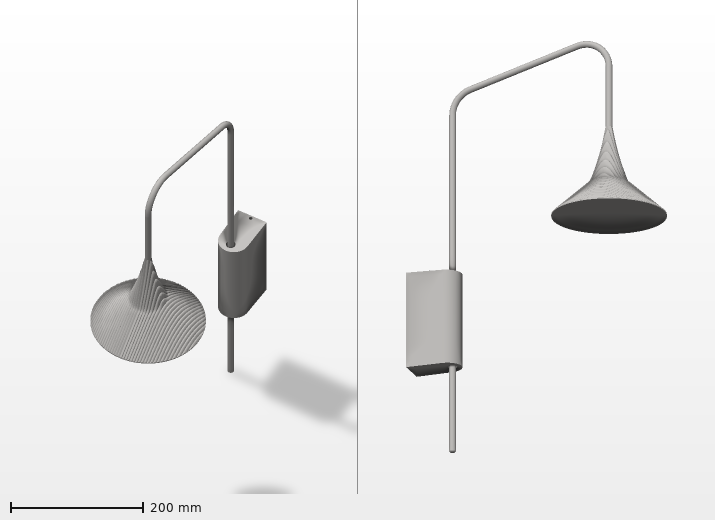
import cadquery as cq
import math


TUBE_RADIUS = 5.0
TOTAL_HEIGHT = 632.0
REACH = 250.0
BEND_RADIUS = 40.0
UPRIGHT_TOP = 536.0
DROP_TOP = TOTAL_HEIGHT - TUBE_RADIUS - BEND_RADIUS
END_CHAMFER = 1.0

SHADE_WIDTH = 175.0
RIBS_PER_SIDE = 21
RIB_WIDTH = SHADE_WIDTH / 2 / RIBS_PER_SIDE
RIB_RELIEF = 1.6
RIM_RADIUS = SHADE_WIDTH / 2
RIM_BOTTOM = 349.5
RIM_THICKNESS = 2.0
RIM_TOP = RIM_BOTTOM + RIM_THICKNESS
WAIST_RADIUS = 29.0
WAIST_HEIGHT = 404.0
NECK_RADIUS = TUBE_RADIUS
NECK_TOP = 491.5
FLARE_RADIUS = 411.0
CURVE_STEPS = 20
TRIM_RADIUS = RIM_RADIUS + 2 * RIB_WIDTH
TRIM_BOTTOM = RIM_BOTTOM - 3 * RIB_WIDTH

HOUSING_DEPTH = 80.0
HOUSING_BACK = 66.0
HOUSING_BOTTOM = 134.5
HOUSING_TOP = 285.0
BACK_WIDTH = 50.0
TAPER_ANGLE = 1.0
TAPER = math.tan(math.radians(TAPER_ANGLE))
TUBE_HOLE_DIAMETER = 14.5
SCREW_HOLE_DIAMETER = 6.0
SCREW_HOLE_INSET = 5.0
SCREW_HOLE_DEPTH = 6.5


def make_housing():
    front = HOUSING_BACK - HOUSING_DEPTH
    nose_radius = (BACK_WIDTH / 2 - HOUSING_DEPTH * TAPER) / (1 - TAPER)
    nose_start = front + nose_radius
    body = (
        cq.Workplane("XY", origin=(0, 0, HOUSING_BOTTOM))
        .moveTo(-BACK_WIDTH / 2, HOUSING_BACK)
        .lineTo(-nose_radius, nose_start)
        .threePointArc((0, front), (nose_radius, nose_start))
        .lineTo(BACK_WIDTH / 2, HOUSING_BACK)
        .close()
        .extrude(HOUSING_TOP - HOUSING_BOTTOM)
    )
    drop = HOUSING_DEPTH * TAPER
    side_outline = (
        cq.Workplane("YZ")
        .polyline([
            (HOUSING_BACK, HOUSING_BOTTOM),
            (HOUSING_BACK, HOUSING_TOP),
            (front, HOUSING_TOP - drop),
            (front, HOUSING_BOTTOM + drop),
        ])
        .close()
        .extrude(BACK_WIDTH / 2, both=True)
    )
    tube_hole = cq.Workplane("XY").circle(TUBE_HOLE_DIAMETER / 2).extrude(TOTAL_HEIGHT)
    screw_hole = (
        cq.Workplane("XY", origin=(0, HOUSING_BACK - SCREW_HOLE_INSET, HOUSING_TOP))
        .circle(SCREW_HOLE_DIAMETER / 2)
        .extrude(-SCREW_HOLE_DEPTH)
    )
    return body.intersect(side_outline).cut(tube_hole).cut(screw_hole)


def bend_point(centre_y, centre_z, angle):
    """Point on a bend's centre line, with the angle measured from +Y towards +Z."""
    return (centre_y + BEND_RADIUS * math.cos(angle), centre_z + BEND_RADIUS * math.sin(angle))


def make_arm():
    first_centre = (-BEND_RADIUS, UPRIGHT_TOP)
    second_centre = (BEND_RADIUS - REACH, DROP_TOP)
    slope = math.atan2(DROP_TOP - UPRIGHT_TOP, first_centre[0] - second_centre[0])
    run_angle = math.pi / 2 - slope
    path = (
        cq.Workplane("YZ")
        .moveTo(0, 0)
        .lineTo(0, UPRIGHT_TOP)
        .threePointArc(bend_point(*first_centre, run_angle / 2), bend_point(*first_centre, run_angle))
        .lineTo(*bend_point(*second_centre, run_angle))
        .threePointArc(
            bend_point(*second_centre, (run_angle + math.pi) / 2),
            (-REACH, DROP_TOP),
        )
        .lineTo(-REACH, NECK_TOP)
    )
    tube = cq.Workplane("XY").circle(TUBE_RADIUS).sweep(path)
    return tube.faces("<Z").edges().chamfer(END_CHAMFER)


def neck_height(radius):
    """Height of the hollow neck arc at a distance from the shade axis."""
    run = WAIST_RADIUS - NECK_RADIUS
    rise = NECK_TOP - WAIST_HEIGHT
    chord = math.hypot(run, rise)
    to_centre = math.sqrt(FLARE_RADIUS ** 2 - (chord / 2) ** 2)
    centre_radius = (NECK_RADIUS + WAIST_RADIUS) / 2 + to_centre * rise / chord
    centre_height = (NECK_TOP + WAIST_HEIGHT) / 2 + to_centre * run / chord
    return centre_height - math.sqrt(FLARE_RADIUS ** 2 - (centre_radius - radius) ** 2)


def cone_height(radius):
    """Height of the straight cone between waist and rim."""
    share = (radius - WAIST_RADIUS) / (RIM_RADIUS - WAIST_RADIUS)
    return WAIST_HEIGHT + share * (RIM_TOP - WAIST_HEIGHT)


def shade_height(radius):
    """Height of the whole trumpet profile at a distance from the shade axis."""
    return neck_height(radius) if radius < WAIST_RADIUS else cone_height(radius)


def rib_section(offset, relief):
    """Half section of the shade, from its axis outwards, in the upright plane at this offset."""
    half_width = math.sqrt(TRIM_RADIUS ** 2 - offset ** 2)
    widths = [half_width * step / CURVE_STEPS for step in range(CURVE_STEPS + 1)]
    curve = [(y, shade_height(math.hypot(y, offset) + relief)) for y in widths]
    even_spacing = [step / CURVE_STEPS for step in range(CURVE_STEPS + 1)]
    outline = (
        cq.Workplane("YZ", origin=(offset, -REACH, 0))
        .moveTo(0, TRIM_BOTTOM)
        .lineTo(*curve[0])
        .spline(curve[1:], includeCurrent=True, parameters=even_spacing)
        .lineTo(half_width, TRIM_BOTTOM)
        .close()
    )
    return outline.val()


def make_half_rib(index):
    """The +X, +Y half of a rib: a smooth loft from valley over crest to valley."""
    inner = index * RIB_WIDTH
    sections = [
        rib_section(inner, RIB_RELIEF),
        rib_section(inner + RIB_WIDTH / 2, 0),
        rib_section(inner + RIB_WIDTH, RIB_RELIEF),
    ]
    return cq.Solid.makeLoft(sections)


def make_shade():
    axis_base = cq.Workplane("XY", origin=(0, -REACH, RIM_BOTTOM))
    trim = axis_base.circle(RIM_RADIUS).extrude(NECK_TOP - RIM_BOTTOM).val()
    axis_point = (0, -REACH, 0)
    half_ribs = [make_half_rib(index).intersect(trim) for index in range(RIBS_PER_SIDE)]
    quarter = half_ribs[0].fuse(*half_ribs[1:])
    half = quarter.fuse(quarter.mirror("XZ", axis_point))
    return cq.Workplane(half.fuse(half.mirror("YZ", axis_point)))


def make_lamp():
    return make_arm().union(make_shade(), clean=False)


housing = make_housing()
lamp = make_lamp()
result = cq.Compound.makeCompound([housing.val(), lamp.val()])